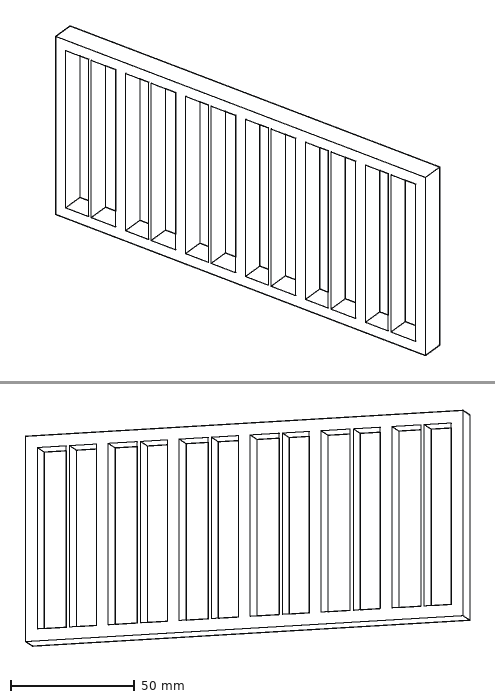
import cadquery as cq

length = 185.0
depth = 10.0
height = 85.0

bay_count = 6
bar_width = 5.0
divider_width = 1.39
divider_shift = 0.43

pitch = (length - bar_width) / bay_count
bay_width = pitch - bar_width
slot_height = height - 2 * bar_width
first_bay_center = -(bay_count - 1) / 2 * pitch


def upright_block(center_x, width, block_height):
    """Block of the full frame depth, centred on the XZ plane."""
    return (
        cq.Workplane("XZ")
        .center(center_x, 0)
        .rect(width, block_height)
        .extrude(depth / 2, both=True)
    )


def split_bay(bay_center):
    """Opening of one bay, with its divider left standing."""
    opening = upright_block(bay_center, bay_width, slot_height)
    divider = upright_block(bay_center - divider_shift, divider_width, slot_height)
    return opening.cut(divider)


result = upright_block(0, length, height)
for bay in range(bay_count):
    result = result.cut(split_bay(first_bay_center + bay * pitch))